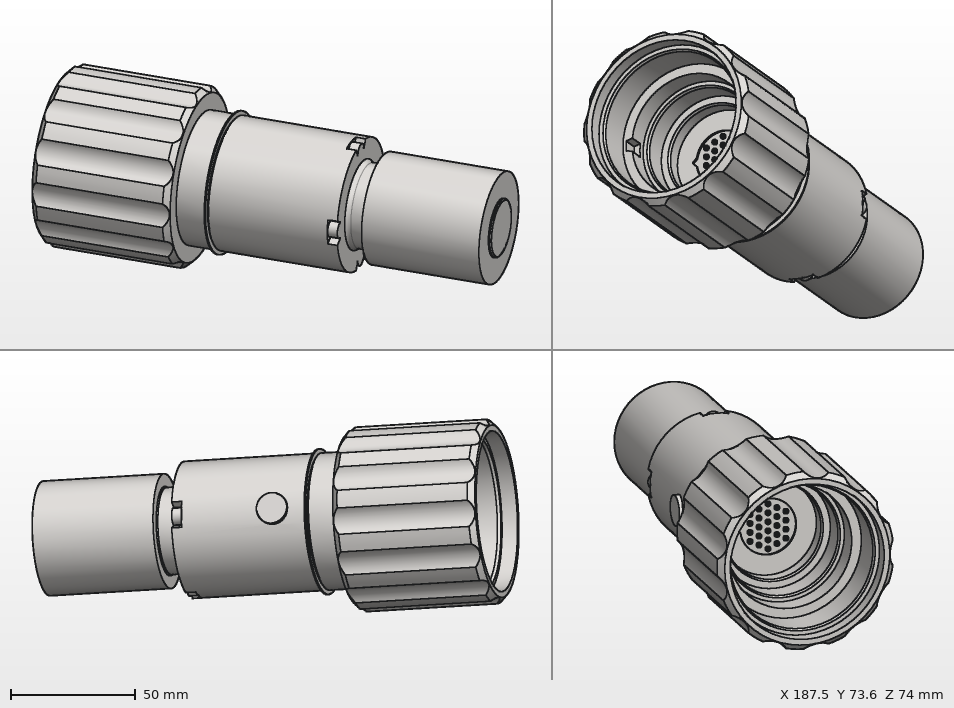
import cadquery as cq
import math


nut_length = 58.9
groove_start = 70.9
groove_width = 1.7
ring_thickness = 0.5
shell_end = 127.5
flare_start = 135.8
sleeve_start = 136.3
sleeve_end = 186.4
total_length = 187.5

nut_diameter = 74.0
shell_diameter = 55.1
groove_diameter = 53.6
ring_diameter = 58.5
neck_diameter = 35.0
flare_diameter = 36.0
sleeve_diameter = 46.1
rear_disc_diameter = 24.2
rear_disc_chamfer = 0.5
neck_fillet_radius = 2.5
neck_fillet_length = 2.0

ridge_count = 13
ridge_width = 7.3
flute_depth = 2.2
nut_chamfer = 2.5

mouth_diameter = 64.5
mouth_depth = 6.4
nut_bore_diameter = 61.0
nut_bore_depth = 23.2
shell_bore_diameter = 51.8
shell_bore_depth = 33.2
inner_bore_diameter = 48.4
inner_bore_depth = 45.0
core_bore_diameter = 41.5
core_bore_depth = 52.5
bore_lip_height = 0.5
bore_lip_length = 1.3

keyway_length = 7.1
keyway_floor_radius = 28.5
keyway_floor_width = 4.1
keyway_mouth_width = 6.0
keyway_overlap = 0.8

insert_diameter = 23.5
insert_recess = 1.0
notch_reach = 1.7
contact_diameter = 2.0
contact_hole_diameter = 1.0
contact_pitch = 3.8
contact_columns = (4, 5, 6, 5, 4)
contact_height = 0.8
contact_hole_depth = 1.9

dot_x = 85.7
dot_diameter = 12.5
dot_reach = 28.9
dot_height = 3.2

slot_count = 4
slot_length = 4.1
slot_width = 10.7
slot_floor_width = 7.5
slot_floor_radius = 23.8
slot_rib_diameter = 7.0
slot_rib_reach = 27.2


def cylinder(diameter, start, end):
    """Solid cylinder on the X axis between two stations."""
    return cq.Workplane("YZ", origin=(start, 0, 0)).circle(diameter / 2).extrude(end - start)


def coupling_nut():
    """Chamfered nut with concave flutes between equal ridges, one ridge on +Y."""
    radius = nut_diameter / 2
    pitch = 2 * math.pi / ridge_count
    flute_half_angle = pitch / 2 - math.asin(ridge_width / 2 / radius)
    half_chord = radius * math.sin(flute_half_angle)
    sagitta = flute_depth - radius * (1 - math.cos(flute_half_angle))
    flute_radius = (half_chord**2 + sagitta**2) / (2 * sagitta)
    flutes = (
        cq.Workplane("YZ")
        .polarArray(radius - flute_depth + flute_radius, math.degrees(pitch / 2), 360, ridge_count)
        .circle(flute_radius)
        .extrude(nut_length)
    )
    return cylinder(nut_diameter, 0, nut_length).faces("<X or >X").chamfer(nut_chamfer).cut(flutes)


def turned(outline):
    """Solid of revolution about the X axis from a closed (x, radius) outline."""
    return outline.close().revolve(360, (0, 0, 0), (1, 0, 0))


def shell():
    """Shell with a thin ring standing in a narrow groove."""
    groove_end = groove_start + groove_width
    ring_start = groove_start + (groove_width - ring_thickness) / 2
    return (
        cylinder(shell_diameter, nut_length, groove_start)
        .union(cylinder(groove_diameter, groove_start, groove_end))
        .union(cylinder(ring_diameter, ring_start, ring_start + ring_thickness))
        .union(cylinder(shell_diameter, groove_end, shell_end))
    )


def neck():
    """Neck with a filleted root at the shell and a small flare at the sleeve."""
    radius = neck_diameter / 2
    fillet_rise = neck_fillet_radius - math.sqrt(neck_fillet_radius**2 - neck_fillet_length**2)
    return turned(
        cq.Workplane("XY")
        .moveTo(shell_end, 0)
        .lineTo(shell_end, radius + fillet_rise)
        .radiusArc((shell_end + neck_fillet_length, radius), -neck_fillet_radius)
        .lineTo(flare_start, radius)
        .lineTo(sleeve_start, flare_diameter / 2)
        .lineTo(sleeve_start, 0)
    )


def rear_sleeve():
    """Plain sleeve with a chamfered disc on its rear face."""
    disc = cylinder(rear_disc_diameter, sleeve_end, total_length).faces(">X").chamfer(rear_disc_chamfer)
    return cylinder(sleeve_diameter, sleeve_start, sleeve_end).union(disc)


def lipped_bore(diameter, start, end):
    """Bore whose entry tapers slightly wider."""
    inner_radius = diameter / 2 - bore_lip_height
    return turned(
        cq.Workplane("XY")
        .moveTo(start, 0)
        .lineTo(start, diameter / 2)
        .lineTo(start + bore_lip_length, inner_radius)
        .lineTo(end, inner_radius)
        .lineTo(end, 0)
    )


def front_bore():
    """Stepped bore from the mouth down to the contact insert."""
    return (
        cylinder(mouth_diameter, 0, mouth_depth)
        .union(lipped_bore(nut_bore_diameter, mouth_depth, nut_bore_depth))
        .union(cylinder(shell_bore_diameter, nut_bore_depth, shell_bore_depth))
        .union(lipped_bore(inner_bore_diameter, shell_bore_depth, inner_bore_depth))
        .union(lipped_bore(core_bore_diameter, inner_bore_depth, core_bore_depth))
    )


def keyway():
    """Flared groove along the shell bore."""
    root_radius = shell_bore_diameter / 2 - keyway_overlap
    return (
        cq.Workplane("YZ", origin=(nut_bore_depth, 0, 0))
        .polyline([
            (root_radius, -keyway_mouth_width / 2),
            (keyway_floor_radius, -keyway_floor_width / 2),
            (keyway_floor_radius, keyway_floor_width / 2),
            (root_radius, keyway_mouth_width / 2),
        ])
        .close()
        .extrude(keyway_length)
    )


def insert_pocket():
    """Shallow round recess for the contacts, with a right-angled notch on +Y."""
    notch_tip = insert_diameter / 2 + notch_reach
    notch_half_width = 2 * notch_reach
    notch_base = notch_tip - notch_half_width
    floor = core_bore_depth + insert_recess
    notch = (
        cq.Workplane("YZ", origin=(core_bore_depth, 0, 0))
        .polyline([(notch_base, -notch_half_width), (notch_tip, 0), (notch_base, notch_half_width)])
        .close()
        .extrude(insert_recess)
    )
    return cylinder(insert_diameter, core_bore_depth, floor).union(notch)


def contact_points():
    """Staggered contact positions as (y, z), one column after another."""
    points = []
    middle = (len(contact_columns) - 1) / 2
    for column, count in enumerate(contact_columns):
        for row in range(count):
            points.append(((column - middle) * contact_pitch, (row - (count - 1) / 2) * contact_pitch))
    return points


def contacts(diameter, length):
    """Cylinders at every contact position, reaching inward from the contact tips."""
    tip = core_bore_depth + insert_recess - contact_height
    return (
        cq.Workplane("YZ", origin=(tip, 0, 0))
        .pushPoints(contact_points())
        .circle(diameter / 2)
        .extrude(length)
    )


def marker_dot():
    """Raised round dot on the +Y side of the shell."""
    face = cq.Workplane("XZ", origin=(dot_x, dot_reach, 0)).circle(dot_diameter / 2)
    return face.extrude(dot_height)


def around_axis(solid):
    """Copies of a solid on +Y, turned about X to every wrench slot."""
    copies = cq.Workplane()
    for index in range(slot_count):
        copies = copies.add(solid.rotate((0, 0, 0), (1, 0, 0), index * 360 / slot_count))
    return copies.combine()


def wrench_slots():
    """Slots with sloping sides cut into the rear edge of the shell."""
    mouth_radius = math.sqrt((shell_diameter / 2) ** 2 - (slot_width / 2) ** 2)
    slot = (
        cq.Workplane("YZ", origin=(shell_end - slot_length, 0, 0))
        .moveTo(slot_floor_radius, -slot_floor_width / 2)
        .lineTo(mouth_radius, -slot_width / 2)
        .lineTo(shell_diameter / 2, -slot_width / 2)
        .lineTo(shell_diameter / 2, slot_width / 2)
        .lineTo(mouth_radius, slot_width / 2)
        .lineTo(slot_floor_radius, slot_floor_width / 2)
        .close()
        .extrude(slot_length)
    )
    return around_axis(slot)


def slot_ribs():
    """Round ribs along X standing in the wrench slots."""
    rib_centre = slot_rib_reach - slot_rib_diameter / 2
    rib = (
        cq.Workplane("YZ", origin=(shell_end - slot_length, rib_centre, 0))
        .circle(slot_rib_diameter / 2)
        .extrude(slot_length)
    )
    return around_axis(rib)


result = (
    coupling_nut()
    .union(shell())
    .union(neck())
    .union(rear_sleeve())
    .union(marker_dot())
    .cut(wrench_slots())
    .union(slot_ribs())
    .cut(front_bore())
    .cut(keyway())
    .cut(insert_pocket())
    .union(contacts(contact_diameter, contact_height))
    .cut(contacts(contact_hole_diameter, contact_hole_depth))
)